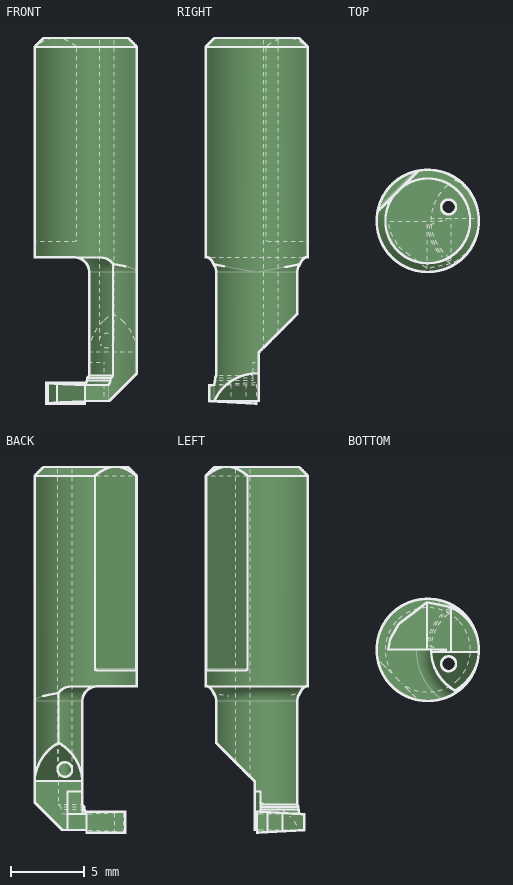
import cadquery as cq
import math

length = 25.0
shank_radius = 3.5
shank_bottom = 10.0
shank_chamfer = 0.6
flat_distance = 2.88
flat_bottom = 11.08
flat_fillet = 0.15
flat_angle = 135.0

hole_radius = 0.5
hole_x = 1.42
hole_y = 0.95

neck_left = 0.22
neck_radius = 3.18
inner_center_x = neck_left + neck_radius
outer_center_x = shank_radius - neck_radius
neck_fillet = 1.0

relief_y = 0.15
relief_bottom = 3.52
bevel_size = 1.9

foot_left = -0.05
foot_bottom = 0.18
foot_top = 1.28
flare_top = 1.92
step_top = 1.75
step_bottom = 1.6
step_width = 0.15
step_radius = neck_radius + step_width
foot_back_y = -3.25
foot_corner_x = 1.55
foot_corner_y = -math.sqrt(neck_radius**2 - (foot_corner_x - outer_center_x) ** 2)

rake_y = -0.02
tip_height = 1.45
tip_end_x = -2.7
tip_outline = [(-2.58, -0.72), (-1.98, -1.78)]
pocket_y = -0.25
pocket_right = 1.25
pocket_top = 2.82


def cylinder(radius, center_x, bottom, top):
    """Upright cylinder centred on the XZ plane."""
    return cq.Workplane("XY", origin=(center_x, 0, bottom)).circle(radius).extrude(top - bottom)


def block(x_min, x_max, y_min, y_max, z_min, z_max):
    """Box given by its limits."""
    size = (x_max - x_min, y_max - y_min, z_max - z_min)
    return cq.Workplane("XY").box(*size, centered=False).translate((x_min, y_min, z_min))


def make_shank():
    shank = cylinder(shank_radius, 0, shank_bottom, length)
    shank = shank.faces(">Z").chamfer(shank_chamfer)
    flat_cut = block(
        flat_distance, 2 * shank_radius, -shank_radius, shank_radius, flat_bottom, length
    )
    flat_cut = flat_cut.faces("<X").edges("<Z").fillet(flat_fillet)
    return shank.cut(flat_cut.rotate((0, 0, 0), (0, 0, 1), flat_angle))


def flared_column(center_x):
    """Round column whose top flares out into the underside of the shank."""
    fillet_start = shank_bottom - neck_fillet
    arc_reach = neck_fillet * math.sin(math.radians(45))
    profile = (
        cq.Workplane("XZ")
        .moveTo(0, foot_bottom)
        .lineTo(neck_radius, foot_bottom)
        .lineTo(neck_radius, fillet_start)
        .threePointArc(
            (neck_radius + neck_fillet - arc_reach, fillet_start + arc_reach),
            (neck_radius + neck_fillet, shank_bottom),
        )
        .lineTo(0, shank_bottom)
        .close()
    )
    return profile.revolve(360, (0, 0), (0, 1)).translate((center_x, 0, 0))


def make_neck():
    inner_column = flared_column(inner_center_x)
    outer_column = flared_column(outer_center_x)
    return inner_column.intersect(outer_column)


def make_foot():
    """Plate at the bottom of the neck, with a stepped conical flare rising to the neck."""
    arc_middle_y = -neck_radius / 2
    arc_middle_x = outer_center_x + math.sqrt(neck_radius**2 - arc_middle_y**2)
    arc_end = outer_center_x + math.sqrt(neck_radius**2 - rake_y**2)
    plate = (
        cq.Workplane("XY", origin=(0, 0, foot_bottom))
        .moveTo(foot_left, rake_y)
        .lineTo(foot_left, foot_back_y)
        .lineTo(foot_corner_x, foot_corner_y)
        .threePointArc((arc_middle_x, arc_middle_y), (arc_end, rake_y))
        .close()
        .extrude(foot_top - foot_bottom)
    )
    flare_radius = inner_center_x - foot_left
    flare = (
        cq.Workplane("XZ")
        .polyline(
            [
                (0, foot_top),
                (flare_radius, foot_top),
                (step_radius, step_bottom),
                (step_radius, step_top),
                (neck_radius, flare_top),
                (0, flare_top),
            ]
        )
        .close()
        .revolve(360, (0, 0), (0, 1))
        .translate((inner_center_x, 0, 0))
    )
    return plate.union(flare.intersect(cylinder(neck_radius, outer_center_x, foot_top, flare_top)))


def relief_cut():
    """Clears the +Y half of the neck, ending in a 45 degree slope at the top."""
    slope_rise = shank_radius - relief_y
    return (
        cq.Workplane("YZ", origin=(-shank_radius, 0, 0))
        .polyline(
            [
                (relief_y, 0),
                (shank_radius, 0),
                (shank_radius, relief_bottom + slope_rise),
                (relief_y, relief_bottom),
            ]
        )
        .close()
        .extrude(2 * shank_radius)
    )


def bevel_cut():
    """Removes the lower +X corner of the neck at 45 degrees."""
    return (
        cq.Workplane("XZ", origin=(0, shank_radius, 0))
        .polyline(
            [
                (shank_radius - bevel_size, foot_bottom),
                (shank_radius, foot_bottom),
                (shank_radius, foot_bottom + bevel_size),
            ]
        )
        .close()
        .extrude(2 * shank_radius)
    )


def chip_pocket():
    """Slanted wall cut into the relief face above the cutting tip."""
    return (
        cq.Workplane("XY", origin=(0, 0, foot_top))
        .polyline(
            [(foot_left, pocket_y), (neck_left, pocket_y), (pocket_right, relief_y), (foot_left, relief_y)]
        )
        .close()
        .extrude(pocket_top - foot_top)
    )


def trim_to_envelope(shape):
    """Keeps a neck or foot within the shank circle, the relief and the bevel."""
    envelope = cylinder(shank_radius, 0, 0, shank_bottom)
    return shape.intersect(envelope).cut(relief_cut()).cut(bevel_cut())


def make_holder():
    neck = trim_to_envelope(make_neck())
    foot = trim_to_envelope(make_foot())
    holder = make_shank().union(neck.union(foot))
    holder = holder.cut(chip_pocket())
    holder = holder.cut(block(foot_left, pocket_right, rake_y, shank_radius, foot_bottom, foot_top))
    hole = cylinder(hole_radius, hole_x, foot_bottom, length).translate((0, hole_y, 0))
    return holder.cut(hole)


def make_tip():
    """Hooked tip, thinner away from its rake face for side clearance."""
    plan = (
        cq.Workplane("XY")
        .polyline(
            [(foot_left, rake_y), (tip_end_x, rake_y), *tip_outline, (foot_left, foot_back_y)]
        )
        .close()
        .extrude(tip_height)
    )
    clearance_wedge = (
        cq.Workplane("YZ", origin=(tip_end_x, 0, 0))
        .polyline(
            [(rake_y, 0), (rake_y, tip_height), (foot_back_y, foot_top), (foot_back_y, foot_bottom)]
        )
        .close()
        .extrude(foot_left - tip_end_x)
    )
    return plan.intersect(clearance_wedge)


holder = make_holder()
tip = make_tip()

result = cq.Compound.makeCompound([holder.val(), tip.val()])